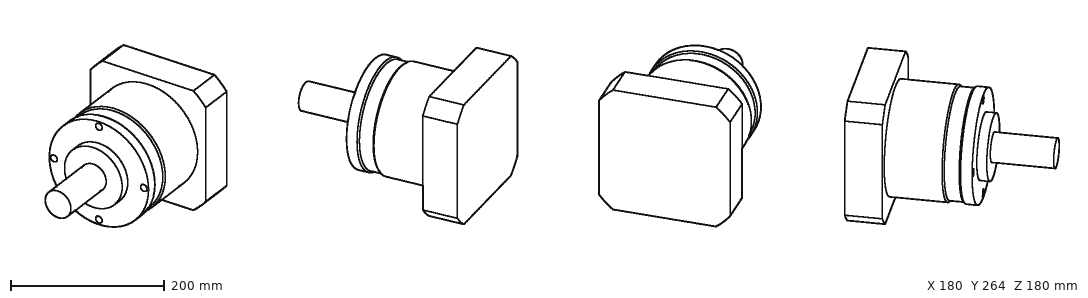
import cadquery as cq

total_length = 264.0
plate_width = 180.0
plate_thickness = 50.2
plate_corner_radius = 114.5

body_diameter = 155.0
groove_diameter = 150.2
hub_diameter = 90.0
shaft_diameter = 40.0

groove_start = 127.0
groove_end = 151.5
flange_face = 166.8
hub_face = 180.0

hole_count = 4
hole_diameter = 10.0
hole_circle_diameter = 140.0
hole_depth = 15.0

groove_depth = (body_diameter - groove_diameter) / 2


def cylinder(diameter, start, end):
    """Cylinder on the shaft axis between two distances from the rear face."""
    return cq.Workplane("XZ", origin=(0, -start, 0)).circle(diameter / 2).extrude(end - start)


def make_plate():
    """Square mounting plate with its corners turned to a common radius."""
    square = cq.Workplane("XZ").rect(plate_width, plate_width).extrude(plate_thickness)
    return square.intersect(cylinder(2 * plate_corner_radius, 0, plate_thickness))


def make_turned_body():
    """Housing with a shallow groove with 45 degree sides, then the hub and the output shaft."""
    body_radius = body_diameter / 2
    groove_radius = groove_diameter / 2
    hub_radius = hub_diameter / 2
    shaft_radius = shaft_diameter / 2
    profile = [
        (0, 0),
        (body_radius, 0),
        (body_radius, -groove_start),
        (groove_radius, -groove_start - groove_depth),
        (groove_radius, -groove_end + groove_depth),
        (body_radius, -groove_end),
        (body_radius, -flange_face),
        (hub_radius, -flange_face),
        (hub_radius, -hub_face),
        (shaft_radius, -hub_face),
        (shaft_radius, -total_length),
        (0, -total_length),
    ]
    return cq.Workplane("XY").polyline(profile).close().revolve(360, (0, 0, 0), (0, 1, 0))


def make_flange_holes():
    """Blind holes evenly spaced around the hub, sunk from the flange face."""
    return (
        cq.Workplane("XZ", origin=(0, -flange_face, 0))
        .polarArray(hole_circle_diameter / 2, 0, 360, hole_count)
        .circle(hole_diameter / 2)
        .extrude(-hole_depth)
    )


result = make_plate().union(make_turned_body()).cut(make_flange_holes())